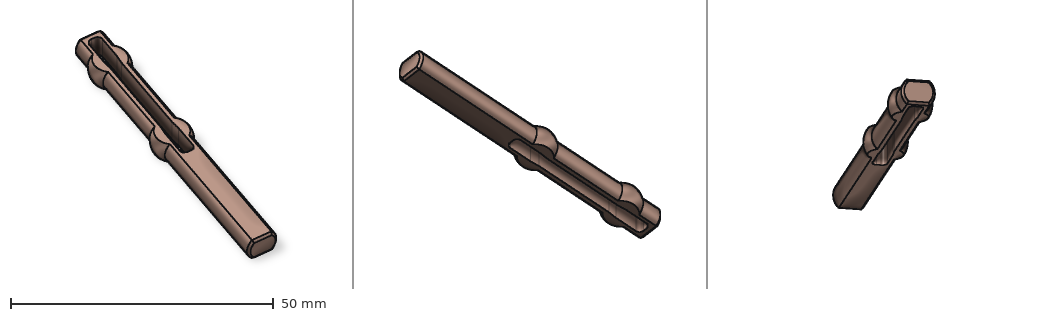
import cadquery as cq

length = 62.5
thickness = 5.0
rod_diameter = 6.6
end_chamfer = 0.5

bulge_diameter = 8.55
first_bulge_x = 7.6
bulge_spacing = 22.2
second_bulge_x = first_bulge_x + bulge_spacing

slot_overhang = 6.2
slot_end_width = 2.9
slot_middle_width = 2.5
slot_corner_radius = 1.0
taper_length = 2.0


def make_rod():
    """Round rod from X = 0 with both spherical bulges."""
    rod = cq.Workplane("YZ").circle(rod_diameter / 2).extrude(length)
    for center_x in (first_bulge_x, second_bulge_x):
        bulge = cq.Workplane("XY").sphere(bulge_diameter / 2).translate((center_x, 0, 0))
        rod = rod.union(bulge)
    return rod


def trim_to_flats(rod):
    """Keep only the part of the rod between the top and bottom flats."""
    slab = cq.Workplane("XY").box(
        length, bulge_diameter, thickness, centered=(False, True, True)
    )
    return rod.intersect(slab)


def make_slot():
    """Solid filling the slot over the full thickness of the bar."""
    end_half = slot_end_width / 2
    middle_half = slot_middle_width / 2
    upper_edge = [
        (first_bulge_x - slot_overhang, end_half),
        (first_bulge_x, end_half),
        (first_bulge_x + taper_length, middle_half),
        (second_bulge_x - taper_length, middle_half),
        (second_bulge_x, end_half),
        (second_bulge_x + slot_overhang, end_half),
    ]
    lower_edge = [(x, -y) for x, y in reversed(upper_edge)]
    slot = (
        cq.Workplane("XY")
        .workplane(offset=-thickness / 2)
        .polyline(upper_edge + lower_edge)
        .close()
        .extrude(thickness)
    )
    return slot.edges("|Z and (<X or >X)").fillet(slot_corner_radius)


bar = trim_to_flats(make_rod())
bar = bar.faces("<X or >X").chamfer(end_chamfer)
result = bar.cut(make_slot())